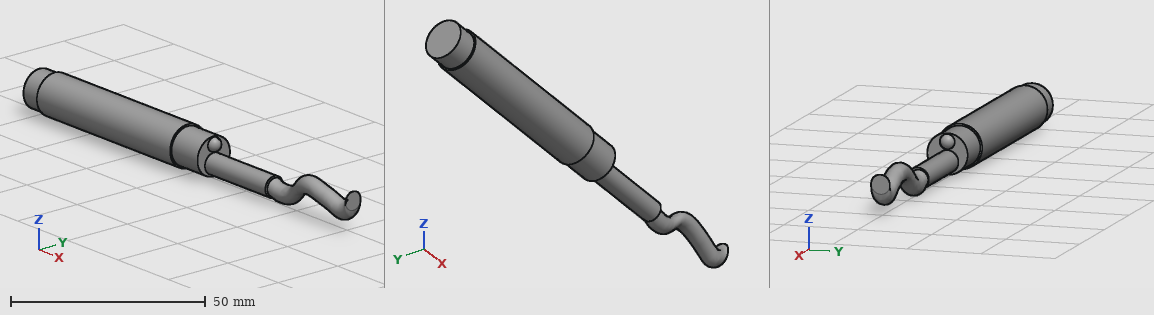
import cadquery as cq

total_length = 124.4

end_diameter = 11.0
barrel_diameter = 12.0
front_length = 6.0
barrel_length = 53.0
rear_length = 10.3
body_end = front_length + barrel_length + rear_length

sleeve_diameter = 6.0
sleeve_length = 24.0
sleeve_height = -2.0
sleeve_end = body_end + sleeve_length

dome_radius = 2.0
dome_height = 3.2

cable_diameter = 5.1
cable_start = (sleeve_end, 0.2, -2.1)
cable_end = (total_length, 0.2, 2.5)
cable_bends = [
    (97.8, 0.5, -3.0),
    (100.8, 0.5, -2.1),
    (105.0, 0.0, 1.6),
    (108.1, -0.2, 2.5),
    (112.8, -0.2, 1.5),
    (116.7, 0.0, 0.2),
    (121.2, 0.2, -1.0),
    (123.3, 0.2, -0.1),
]


def cylinder_along_x(start, length, diameter, height=0.0):
    """Cylinder from x = start, with its axis at z = height."""
    plane = cq.Workplane("YZ", origin=(start, 0, height))
    return plane.circle(diameter / 2).extrude(length)


def make_body():
    core = cylinder_along_x(0, body_end, end_diameter)
    barrel = cylinder_along_x(front_length, barrel_length, barrel_diameter)
    return core.union(barrel)


def make_dome():
    return cq.Workplane("XY", origin=(body_end, 0, dome_height)).sphere(dome_radius)


def make_cable():
    path = cq.Workplane("XY").spline([cable_start, *cable_bends, cable_end])
    section = cq.Workplane("YZ", origin=cable_start).circle(cable_diameter / 2)
    return section.sweep(path, normal=(1, 0, 0))


sleeve = cylinder_along_x(body_end, sleeve_length, sleeve_diameter, sleeve_height)
result = make_body().union(sleeve).union(make_dome()).union(make_cable())